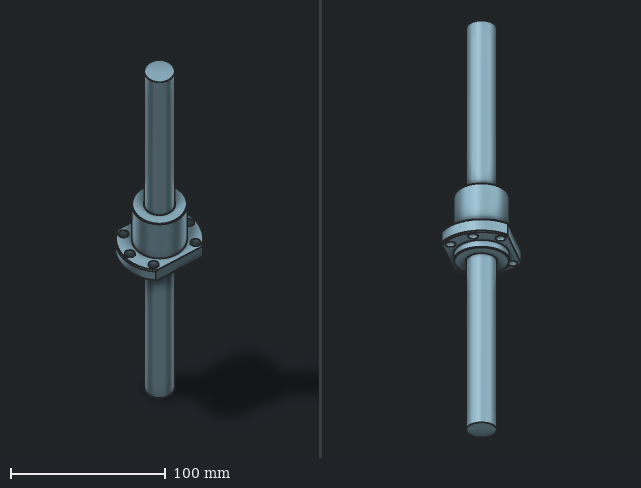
import cadquery as cq
import math

shaft_length = 300.0
shaft_diameter = 19.8

barrel_diameter = 36.0
barrel_length = 48.0
barrel_chamfer = 0.45
bore_clearance = 0.3
bore_diameter = shaft_diameter + 2 * bore_clearance
barrel_bottom = (shaft_length - barrel_length) / 2

flange_diameter = 58.0
flange_width = 44.0
flange_thickness = 10.0
flange_offset = 5.5
flange_bottom = barrel_bottom + flange_offset
flange_chamfer = 1.0

hole_diameter = 6.5
bolt_circle_diameter = 47.0
hole_spacing_angle = 45
hole_angles = [
    side + step * hole_spacing_angle
    for side in (90, 270)
    for step in (-1, 0, 1)
]


def make_shaft():
    return cq.Workplane("XY").circle(shaft_diameter / 2).extrude(shaft_length)


def make_flange():
    disc = (
        cq.Workplane("XY", origin=(0, 0, flange_bottom))
        .circle(flange_diameter / 2)
        .extrude(flange_thickness)
        .faces("<Z or >Z")
        .chamfer(flange_chamfer)
    )
    flats = (
        cq.Workplane("XY", origin=(0, 0, flange_bottom))
        .rect(flange_width, flange_diameter)
        .extrude(flange_thickness)
    )
    return disc.intersect(flats)


def make_mounting_holes():
    plane = cq.Workplane("XY", origin=(0, 0, flange_bottom))
    radius = bolt_circle_diameter / 2
    centers = [
        (radius * math.cos(math.radians(angle)), radius * math.sin(math.radians(angle)))
        for angle in hole_angles
    ]
    return plane.pushPoints(centers).circle(hole_diameter / 2).extrude(flange_thickness)


def make_nut():
    barrel = (
        cq.Workplane("XY", origin=(0, 0, barrel_bottom))
        .circle(barrel_diameter / 2)
        .extrude(barrel_length)
        .faces("<Z or >Z")
        .chamfer(barrel_chamfer)
    )
    bore = (
        cq.Workplane("XY", origin=(0, 0, barrel_bottom))
        .circle(bore_diameter / 2)
        .extrude(barrel_length)
    )
    return barrel.union(make_flange()).cut(bore).cut(make_mounting_holes())


shaft = make_shaft()
nut = make_nut()

result = cq.Compound.makeCompound([shaft.val(), *nut.vals()])